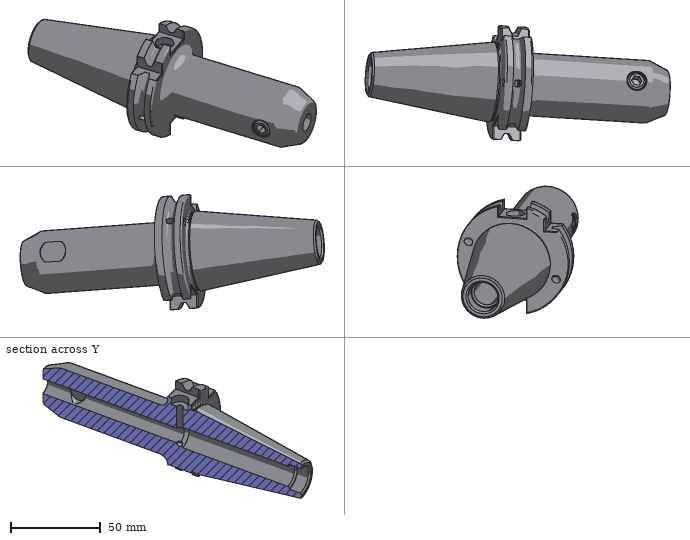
import cadquery as cq
import math

TAPER_LENGTH = 68.4
GAUGE_DIA = 44.45
TAPER_RATIO = 7 / 24
TAPER_END_CHAMFER = 1.0
TAPER_OVERRUN = 0.8
NECK_DIA = 43.2
NECK_START = 1.7
NECK_FILLET = 0.8

FLANGE_START = 3.2
FLANGE_END = 19.1
FLANGE_DIA = 63.33
FLANGE_ROUND = 1.0
FLANGE_CENTRE = 11.1

GROOVE_WIDTH = 6.8
GROOVE_HALF_ANGLE = 30
GROOVE_FLOOR_DIA = 56.25
GROOVE_FILLET = 0.8

SHANK_DIA = 35.0
SHANK_LENGTH = 100.0
SHANK_FILLET = 5.0
NOSE_START = 88.9
NOSE_DIA = 24.8
NOSE_BLEND = 2.4
NOSE_FILLET = 2.0
EDGE_SEARCH = 1.0

DRIVE_SLOT_WIDTH = 16.1
UPPER_SLOT_FLOOR = 25.0
LOWER_SLOT_FLOOR = 22.8
SLOT_EDGE_CHAMFER = 0.5
CORNER_NOTCH = 18.5

CHIP_DIA = 10.3
CHIP_DEPTH = 4.6
CROSS_HOLE_DIA = 4.0
CROSS_HOLE_OVERRUN = 0.8
DRILL_TIP_SLOPE = 30

STUD_MOUTH_DIA = 19.0
STUD_PILOT_DIA = 17.0
STUD_PILOT_DEPTH = 8.0
STUD_ENTRY_DIA = 16.0
STUD_THREAD_DIA = 13.9
TOOL_BORE_DIA = 10.0
BORE_CONE_START = 9.2
BORE_CONE_LENGTH = 1.95

COOLANT_RADIUS = 26.7
COOLANT_DIA = 4.2
COOLANT_DEPTH = 12.0
COOLANT_TILT = 30
COOLANT_AZIMUTH = 20
GROOVE_PORT_DIA = 4.0
GROOVE_PORT_DEPTH = 8.0

SCREW_X = 80.0
SCREW_DIA = 10.0
SCREW_LENGTH = 12.0
SCREW_CHAMFER = 1.0
SCREW_HEX_FLATS = 5.0
SCREW_HEX_DEPTH = 5.0
SCREW_SINK_DIA = 11.2
SCREW_SINK_FLOOR = 16.2
BALANCE_HOLE_DIA = 14.5
BALANCE_HOLE_FLOOR = 16.5

TAPER_END = -TAPER_LENGTH
FLANGE_R = FLANGE_DIA / 2
SHANK_R = SHANK_DIA / 2
BORE_R = TOOL_BORE_DIA / 2


def bar(radius, start, direction, length):
    """Solid cylinder starting at a point and running along a direction."""
    return cq.Workplane(cq.Solid.makeCylinder(radius, length, cq.Vector(*start), cq.Vector(*direction)))


def make_body_blank():
    """Turned outside of the holder: taper, neck, flange, shank and nose."""
    gauge_r = GAUGE_DIA / 2
    neck_r = NECK_DIA / 2
    taper_end_r = gauge_r - TAPER_LENGTH * TAPER_RATIO / 2
    chamfer_r = gauge_r - (TAPER_LENGTH - TAPER_END_CHAMFER) * TAPER_RATIO / 2
    profile = (
        cq.Workplane("XY")
        .moveTo(TAPER_END, 0)
        .lineTo(TAPER_END, taper_end_r - TAPER_END_CHAMFER)
        .lineTo(TAPER_END + TAPER_END_CHAMFER, chamfer_r)
        .lineTo(TAPER_OVERRUN, gauge_r + TAPER_OVERRUN * TAPER_RATIO / 2)
        .lineTo(NECK_START, neck_r)
        .lineTo(FLANGE_START - NECK_FILLET, neck_r)
        .radiusArc((FLANGE_START, neck_r + NECK_FILLET), -NECK_FILLET)
        .lineTo(FLANGE_START, FLANGE_R - FLANGE_ROUND)
        .radiusArc((FLANGE_START + FLANGE_ROUND, FLANGE_R), FLANGE_ROUND)
        .lineTo(FLANGE_END - FLANGE_ROUND, FLANGE_R)
        .radiusArc((FLANGE_END, FLANGE_R - FLANGE_ROUND), FLANGE_ROUND)
        .lineTo(FLANGE_END, SHANK_R + SHANK_FILLET)
        .radiusArc((FLANGE_END + SHANK_FILLET, SHANK_R), -SHANK_FILLET)
        .lineTo(NOSE_START, SHANK_R)
        .lineTo(SHANK_LENGTH, NOSE_DIA / 2)
        .lineTo(SHANK_LENGTH, 0)
        .close()
    )
    blank = profile.revolve(360, (0, 0, 0), (1, 0, 0))
    reach = SHANK_R + EDGE_SEARCH
    nose_edge = cq.selectors.BoxSelector(
        (NOSE_START - EDGE_SEARCH, -reach, -reach),
        (NOSE_START + EDGE_SEARCH, reach, reach))
    blank = blank.edges(nose_edge).edges("%CIRCLE").fillet(NOSE_BLEND)
    return blank.faces(">X").edges("%CIRCLE").fillet(NOSE_FILLET)


def make_gripper_groove():
    """V groove around the flange with a rounded floor."""
    half_top = GROOVE_WIDTH / 2
    floor_r = GROOVE_FLOOR_DIA / 2
    half_floor = half_top - (FLANGE_R - floor_r) * math.tan(math.radians(GROOVE_HALF_ANGLE))
    groove = (
        cq.Workplane("XY")
        .moveTo(FLANGE_CENTRE - half_top, FLANGE_R)
        .lineTo(FLANGE_CENTRE - half_floor, floor_r)
        .lineTo(FLANGE_CENTRE + half_floor, floor_r)
        .lineTo(FLANGE_CENTRE + half_top, FLANGE_R)
        .close()
        .revolve(360, (0, 0, 0), (1, 0, 0))
    )
    floor_edges = cq.selectors.RadiusNthSelector(0)
    return groove.edges("%CIRCLE").edges(floor_edges).fillet(GROOVE_FILLET)


def flared_slot(y_min, y_max, z_min, z_max):
    """Rectangular cut through the flange along X, chamfered where it breaks through both faces."""
    size = (y_max - y_min, z_max - z_min)
    middle = ((y_min + y_max) / 2, (z_min + z_max) / 2)
    flared_size = [side + 2 * SLOT_EDGE_CHAMFER for side in size]
    slot = cq.Workplane("YZ", origin=(FLANGE_START, *middle)).rect(*size).extrude(FLANGE_END - FLANGE_START)
    for face_x, inward in ((FLANGE_START, 1), (FLANGE_END, -1)):
        flare = (
            cq.Workplane("YZ", origin=(face_x, *middle))
            .rect(*flared_size)
            .workplane(offset=inward * SLOT_EDGE_CHAMFER)
            .rect(*size)
            .loft(ruled=True)
        )
        slot = slot.union(flare)
    return slot


def make_flange_cuts():
    """Upper and lower drive slots and the corner notch."""
    half_width = DRIVE_SLOT_WIDTH / 2
    return [
        flared_slot(-half_width, half_width, UPPER_SLOT_FLOOR, FLANGE_DIA),
        flared_slot(-half_width, half_width, -FLANGE_DIA, -LOWER_SLOT_FLOOR),
        flared_slot(-FLANGE_DIA, -CORNER_NOTCH, CORNER_NOTCH, FLANGE_DIA),
    ]


def make_bore():
    """Through bore: stud pilot and thread from the taper end, tool bore from the nose."""
    mouth_r = STUD_MOUTH_DIA / 2
    pilot_r = STUD_PILOT_DIA / 2
    entry_r = STUD_ENTRY_DIA / 2
    thread_r = STUD_THREAD_DIA / 2
    pilot_end = TAPER_END + STUD_PILOT_DEPTH
    return (
        cq.Workplane("XY")
        .moveTo(TAPER_END, 0)
        .lineTo(TAPER_END, mouth_r)
        .lineTo(TAPER_END + mouth_r - pilot_r, pilot_r)
        .lineTo(pilot_end, pilot_r)
        .lineTo(pilot_end, entry_r)
        .lineTo(pilot_end + entry_r - thread_r, thread_r)
        .lineTo(BORE_CONE_START, thread_r)
        .lineTo(BORE_CONE_START + BORE_CONE_LENGTH, BORE_R)
        .lineTo(SHANK_LENGTH, BORE_R)
        .lineTo(SHANK_LENGTH, 0)
        .close()
        .revolve(360, (0, 0, 0), (1, 0, 0))
    )


def make_chip_recess():
    """Round recess in the upper slot floor with a drilled hole across the bore."""
    cross_r = CROSS_HOLE_DIA / 2
    recess = bar(CHIP_DIA / 2, (FLANGE_CENTRE, 0, UPPER_SLOT_FLOOR), (0, 0, -1), CHIP_DEPTH)
    cross_length = UPPER_SLOT_FLOOR + BORE_R + CROSS_HOLE_OVERRUN
    cross = bar(cross_r, (FLANGE_CENTRE, 0, UPPER_SLOT_FLOOR), (0, 0, -1), cross_length)
    tip = cq.Workplane(cq.Solid.makeCone(
        cross_r, 0, cross_r * math.tan(math.radians(DRILL_TIP_SLOPE)),
        cq.Vector(FLANGE_CENTRE, 0, UPPER_SLOT_FLOOR - cross_length), cq.Vector(0, 0, -1)))
    return recess.union(cross).union(tip)


def make_coolant_holes():
    """Two leaning holes in the taper-side flange face, each with a radial port in the groove."""
    holes = []
    tilt = math.radians(COOLANT_TILT)
    lead = COOLANT_DIA
    hole = bar(COOLANT_DIA / 2,
               (FLANGE_START - lead * math.cos(tilt), COOLANT_RADIUS + lead * math.sin(tilt), 0),
               (math.cos(tilt), -math.sin(tilt), 0), COOLANT_DEPTH + lead)
    port = bar(GROOVE_PORT_DIA / 2, (FLANGE_CENTRE, FLANGE_R, 0), (0, -1, 0), GROOVE_PORT_DEPTH)
    for turn in (COOLANT_AZIMUTH, COOLANT_AZIMUTH + 180):
        for tool in (hole, port):
            holes.append(tool.rotate((0, 0, 0), (1, 0, 0), turn))
    return holes


def make_screw_hole():
    """Clamp screw hole from the bore outwards, with a shallow counterbore."""
    thread = bar(SCREW_DIA / 2, (SCREW_X, 0, 0), (0, -1, 0), SHANK_R)
    sink = bar(SCREW_SINK_DIA / 2, (SCREW_X, -SCREW_SINK_FLOOR, 0), (0, -1, 0), SHANK_R)
    return thread.union(sink)


def make_clamp_screw():
    """Set screw with a hexagon socket, ending at the tool bore."""
    screw = bar(SCREW_DIA / 2, (SCREW_X, -BORE_R, 0), (0, -1, 0), SCREW_LENGTH)
    screw = screw.faces("<Y").chamfer(SCREW_CHAMFER)
    hex_corners = SCREW_HEX_FLATS / math.cos(math.pi / 6)
    socket = (
        cq.Workplane("XZ", origin=(SCREW_X, -BORE_R - SCREW_LENGTH, 0))
        .polygon(6, hex_corners)
        .extrude(-SCREW_HEX_DEPTH)
    )
    return screw.cut(socket)


def make_holder():
    """Turned blank with every groove, slot, bore and hole removed."""
    holder = make_body_blank().cut(make_gripper_groove())
    balance = bar(BALANCE_HOLE_DIA / 2, (SCREW_X, BALANCE_HOLE_FLOOR, 0), (0, 1, 0), SHANK_R)
    cuts = make_flange_cuts() + make_coolant_holes()
    cuts += [make_bore(), make_chip_recess(), make_screw_hole(), balance]
    for cut in cuts:
        holder = holder.cut(cut)
    return holder


holder = make_holder()
clamp_screw = make_clamp_screw()
result = cq.Compound.makeCompound([holder.val(), clamp_screw.val()])